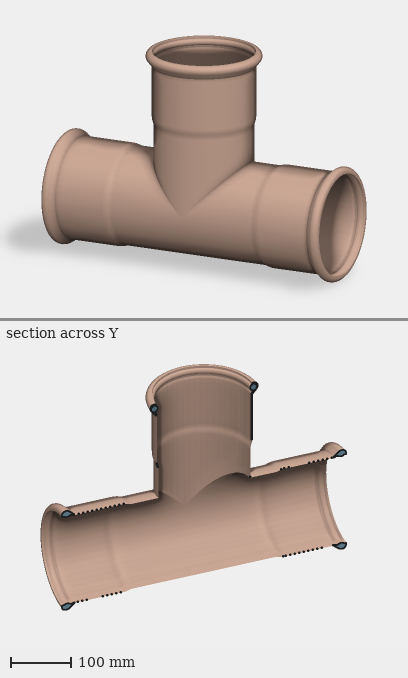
import cadquery as cq
import math

overall_length = 514.0
overall_height = 365.5
bead_diameter = 195.0

pipe_outer_radius = 168.0 / 2
pipe_bore_radius = 164.5 / 2
socket_outer_radius = 174.0 / 2
socket_bore_radius = 170.0 / 2
lip_bore_radius = 173.0 / 2

socket_depth = 112.0
reducer_length = 17.0

bead_radius = 8.0
bead_slope = 40.0

ridge_depth = 10.0
ridge_width = 11.5
ridge_height = 2.3

seal_radius = 6.0
seal_depth = 10.0

lip_bore_length = 19.0
step_length = 4.5

run_reach = overall_length / 2
branch_reach = overall_height - bead_diameter / 2
bead_ring_radius = bead_diameter / 2 - bead_radius


def bead_point(mouth, degrees):
    """Point on the bead section; 0 is outermost and 90 is deepest into the arm."""
    angle = math.radians(degrees)
    return (
        bead_ring_radius + bead_radius * math.cos(angle),
        mouth - bead_radius - bead_radius * math.sin(angle),
    )


def cone_foot(mouth):
    """Point where the cone tangent to the bead comes down to the socket."""
    start_radius, start_height = bead_point(mouth, bead_slope)
    drop = start_radius - socket_outer_radius
    return socket_outer_radius, start_height - drop / math.tan(math.radians(bead_slope))


def stepped_pipe(pipe_radius, socket_radius, mouth):
    """Profile from the tee centre to the socket, widening through two tangent arcs."""
    socket_start = mouth - socket_depth
    reducer_start = socket_start - reducer_length
    middle = ((pipe_radius + socket_radius) / 2, (reducer_start + socket_start) / 2)
    return (
        cq.Workplane("XY")
        .lineTo(pipe_radius, 0)
        .lineTo(pipe_radius, reducer_start)
        .tangentArcPoint(middle, relative=False)
        .tangentArcPoint((socket_radius, socket_start), relative=False)
    )


def revolve_upright(profile):
    """Revolve a closed (radius, height) profile and stand its axis along Z."""
    return profile.close().revolve(360, (0, 0, 0), (0, 1, 0)).rotate((0, 0, 0), (1, 0, 0), 90)


def arm_outside(mouth):
    profile = (
        stepped_pipe(pipe_outer_radius, socket_outer_radius, mouth)
        .lineTo(*cone_foot(mouth))
        .lineTo(*bead_point(mouth, bead_slope))
        .threePointArc(bead_point(mouth, 0), bead_point(mouth, -90))
        .lineTo(0, mouth)
    )
    return revolve_upright(profile)


def arm_inside(mouth):
    lip_bore_end = mouth - lip_bore_length
    profile = (
        stepped_pipe(pipe_bore_radius, socket_bore_radius, mouth)
        .lineTo(socket_bore_radius, lip_bore_end - step_length)
        .tangentArcPoint((lip_bore_radius, lip_bore_end), relative=False)
        .lineTo(lip_bore_radius, mouth)
        .lineTo(0, mouth)
    )
    return revolve_upright(profile)


def seal_ring(mouth):
    """Ring with a round section, concentric with an upright arm."""
    section = cq.Workplane("XY").center(bead_ring_radius, mouth - seal_depth).circle(seal_radius)
    ring = section.revolve(360, (-bead_ring_radius, 0, 0), (-bead_ring_radius, 1, 0))
    return ring.rotate((0, 0, 0), (1, 0, 0), 90)


def mouth_ridge(mouth):
    """Ring standing inward from the lip bore, rooted in the wall behind it."""
    ridge_centre = mouth - ridge_depth
    ridge_top = ridge_centre + ridge_width / 2
    ridge_bottom = ridge_centre - ridge_width / 2
    profile = (
        cq.Workplane("XY")
        .moveTo(bead_ring_radius, ridge_bottom)
        .lineTo(lip_bore_radius, ridge_bottom)
        .threePointArc((lip_bore_radius - ridge_height, ridge_centre), (lip_bore_radius, ridge_top))
        .lineTo(bead_ring_radius, ridge_top)
    )
    return revolve_upright(profile)


def join_arms(branch, run_arm):
    """Upright branch joined to two copies of an upright run arm turned to +X and -X."""
    arms = branch
    for turn in (90, -90):
        arms = arms.union(run_arm.rotate((0, 0, 0), (0, 1, 0), turn))
    return arms


def make_tee():
    outside = join_arms(arm_outside(branch_reach), arm_outside(run_reach))
    branch_inside = arm_inside(branch_reach).union(seal_ring(branch_reach))
    run_inside = arm_inside(run_reach).cut(mouth_ridge(run_reach))
    return outside.cut(join_arms(branch_inside, run_inside)).solids()


tee = make_tee()
branch_seal = seal_ring(branch_reach)

result = cq.Compound.makeCompound([tee.val(), branch_seal.val()])